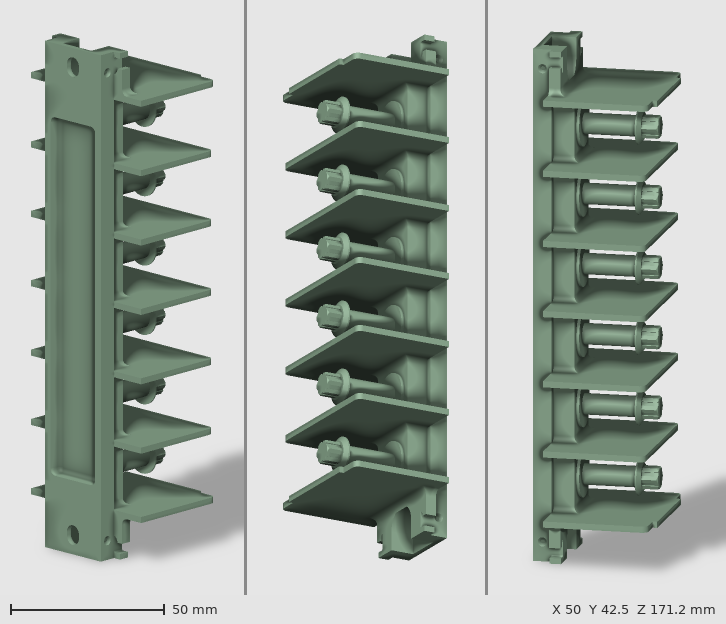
import cadquery as cq
import math

LENGTH = 171.2
BASE_WIDTH = 25.3
BASE_DEPTH = 6.2
END_Z = LENGTH / 2

BARRIER_COUNT = 7
PITCH = 23.5
BARRIER_WIDTH = 50.0
BARRIER_THICKNESS = 2.0
INNER_BARRIER_BACK = 40.0
OUTER_BARRIER_BACK = 41.0
BARRIER_CORNER_RADIUS = 2.0
TAB_WIDTH = 33.9
TAB_BACK = 42.5
OUTER_BARRIER_Z = PITCH * (BARRIER_COUNT - 1) / 2

CORE_WIDTH = 19.9
CORE_BACK = 13.2
CORE_FILLET = 1.9

END_BACK = 10.0
POST_SPAN = 32.7
POST_TOP = 80.1
POST_FILLET = 2.2
POST_INNER_X = 14.2
GAP_RADIUS = 2.2
LIP_WIDTH = 30.8
LIP_THICKNESS = 1.9
LIP_FILLET = 0.5

MOUNT_Z = 79.1
MOUNT_HOLE_WIDTH = 5.5
MOUNT_HOLE_HEIGHT = 6.7
RECESS_WIDTH = 13.2
RECESS_FLOOR = 1.9
DIMPLE_DIAMETER = 3.0
DIMPLE_FLOOR_DIAMETER = 1.4
DIMPLE_DEPTH = 0.9

PANEL_WIDTH = 20.2
PANEL_HEIGHT = 121.2
PANEL_DEPTH = 4.0
PANEL_CORNER_RADIUS = 2.0
PANEL_DRAFT_ANGLE = 8.0
PANEL_FLOOR_FILLET = 1.4

WASHER_DIAMETER = 15.4
WASHER_BACK = 14.2
SHANK_DIAMETER = 7.0
FLANGE_DIAMETER = 12.2
FLANGE_NECK_DIAMETER = 9.0
FLANGE_FRONT = 32.4
FLANGE_RIM_BACK = 32.9
FLANGE_BACK = 34.0
HEAD_BACK = 39.5
HEAD_ACROSS_FLATS = 7.0
HEAD_CHAMFER = 0.5
GROOVE_DEPTH = 0.3
GROOVES_PER_FLAT_WIDTH = 3
HEX_SIDES = 6

OVERLAP = 0.3


def block(width, front, back, bottom, top):
    """Box centred on X, spanning front..back in Y and bottom..top in Z."""
    size = (width, back - front, top - bottom)
    return cq.Workplane("XY").box(*size, centered=(True, False, False)).translate((0, front, bottom))


def both_ends(top_feature):
    """The feature at the top end together with its mirror image at the bottom end."""
    return top_feature.union(top_feature.mirror("XY"))


def barrier(index):
    """One barrier plate; the two outermost are deeper and carry a tab along the back."""
    z = (index - (BARRIER_COUNT - 1) / 2) * PITCH
    bottom = z - BARRIER_THICKNESS / 2
    top = z + BARRIER_THICKNESS / 2
    is_outer = index in (0, BARRIER_COUNT - 1)
    back = OUTER_BARRIER_BACK if is_outer else INNER_BARRIER_BACK
    plate = block(BARRIER_WIDTH, BASE_DEPTH, back, bottom, top)
    plate = plate.edges("|Z and >Y").fillet(BARRIER_CORNER_RADIUS)
    if is_outer:
        plate = plate.union(block(TAB_WIDTH, BASE_DEPTH, TAB_BACK, bottom, top))
    return plate


def root_fillet(body, half_width, back, z, radius):
    """Round the three edges where a block meets a barrier face at height z."""
    tolerance = 0.02
    selector = cq.selectors.BoxSelector(
        (-half_width - tolerance, BASE_DEPTH + tolerance, z - tolerance),
        (half_width + tolerance, back + tolerance, z + tolerance),
    )
    return body.edges(selector).fillet(radius)


def barrier_stack():
    """All barriers joined by the core block, with the post blocks beyond the outer barriers."""
    body = block(CORE_WIDTH, BASE_DEPTH, CORE_BACK, -OUTER_BARRIER_Z, OUTER_BARRIER_Z)
    body = body.union(both_ends(block(POST_SPAN, BASE_DEPTH, END_BACK, OUTER_BARRIER_Z, POST_TOP)))
    for index in range(BARRIER_COUNT):
        body = body.union(barrier(index))
    for gap in range(BARRIER_COUNT - 1):
        lower_face = -OUTER_BARRIER_Z + gap * PITCH + BARRIER_THICKNESS / 2
        upper_face = lower_face + PITCH - BARRIER_THICKNESS
        body = root_fillet(body, CORE_WIDTH / 2, CORE_BACK, lower_face, CORE_FILLET)
        body = root_fillet(body, CORE_WIDTH / 2, CORE_BACK, upper_face, CORE_FILLET)
    outer_face = OUTER_BARRIER_Z + BARRIER_THICKNESS / 2
    for z in (-outer_face, outer_face):
        body = root_fillet(body, POST_SPAN / 2, END_BACK, z, POST_FILLET)
    return body


def post_gaps():
    """Round-bottomed gaps between the side posts and the stalk at the top end."""
    centre_x = POST_INNER_X - GAP_RADIUS
    return (
        cq.Workplane("XZ", origin=(0, BASE_DEPTH, 0))
        .pushPoints([(-centre_x, POST_TOP), (centre_x, POST_TOP)])
        .circle(GAP_RADIUS)
        .extrude(-(END_BACK - BASE_DEPTH))
    )


def lipped_stalk():
    """Stalk as wide as the base, with a lip overhanging both sides at the top end."""
    lip_bottom = END_Z - LIP_THICKNESS
    stalk = block(BASE_WIDTH, BASE_DEPTH, END_BACK, OUTER_BARRIER_Z, END_Z)
    stalk = stalk.union(block(LIP_WIDTH, BASE_DEPTH, END_BACK, lip_bottom, END_Z))
    under_lip = cq.selectors.BoxSelector(
        (-BASE_WIDTH / 2 - LIP_FILLET, BASE_DEPTH, lip_bottom - LIP_FILLET),
        (BASE_WIDTH / 2 + LIP_FILLET, END_BACK, lip_bottom + LIP_FILLET),
    )
    return stalk.edges("|Y").edges(under_lip).fillet(LIP_FILLET)


def mount_cutter():
    """Oval screw hole with a wide recess behind it that opens through the top end."""
    hole = cq.Workplane("XZ").center(0, MOUNT_Z).slot2D(MOUNT_HOLE_HEIGHT, MOUNT_HOLE_WIDTH, 90)
    hole = hole.extrude(-END_BACK)
    recess = cq.Workplane("XZ", origin=(0, RECESS_FLOOR, MOUNT_Z)).circle(RECESS_WIDTH / 2)
    recess = recess.extrude(-(END_BACK - RECESS_FLOOR))
    opening = block(RECESS_WIDTH, RECESS_FLOOR, END_BACK, MOUNT_Z, END_Z)
    return hole.union(recess).union(opening)


def side_dimples():
    """Conical dimples in both side faces of the base, level with the mounting hole."""
    dimple = (
        cq.Workplane("YZ", origin=(-BASE_WIDTH / 2, BASE_DEPTH / 2, MOUNT_Z))
        .circle(DIMPLE_DIAMETER / 2)
        .workplane(offset=DIMPLE_DEPTH)
        .circle(DIMPLE_FLOOR_DIAMETER / 2)
        .loft()
    )
    return dimple.union(dimple.mirror("YZ"))


def label_panel():
    """Cutter for the drafted panel recess with a rounded floor edge."""
    panel = (
        cq.Workplane("XZ")
        .sketch()
        .rect(PANEL_WIDTH, PANEL_HEIGHT)
        .vertices()
        .fillet(PANEL_CORNER_RADIUS)
        .finalize()
        .extrude(-PANEL_DEPTH, taper=PANEL_DRAFT_ANGLE)
    )
    return panel.faces(">Y").edges().fillet(PANEL_FLOOR_FILLET)


def screw_head():
    """Hexagonal head with a shallow groove along each flat and a chamfered end."""
    corner_diameter = HEAD_ACROSS_FLATS / math.cos(math.pi / HEX_SIDES)
    flat_width = corner_diameter / 2
    groove_width = flat_width / GROOVES_PER_FLAT_WIDTH
    length = HEAD_BACK - FLANGE_BACK + OVERLAP
    head = cq.Workplane("XZ").polygon(HEX_SIDES, corner_diameter).extrude(-length)
    groove = cq.Workplane("XY").box(groove_width, length, 2 * GROOVE_DEPTH, centered=(True, False, True))
    groove = groove.translate((0, 0, HEAD_ACROSS_FLATS / 2))
    for side in range(HEX_SIDES):
        head = head.cut(groove.rotate((0, 0, 0), (0, 1, 0), side * 360 / HEX_SIDES))
    envelope = cq.Workplane("XZ").circle(corner_diameter / 2).extrude(-length)
    envelope = envelope.faces(">Y").chamfer(HEAD_CHAMFER)
    return head.intersect(envelope).translate((0, HEAD_BACK - length, 0))


def terminal_screw():
    """Washer, shank and flange turned about Y, with the head on the end."""
    turned = (
        cq.Workplane("XY")
        .moveTo(0, CORE_BACK - OVERLAP)
        .lineTo(WASHER_DIAMETER / 2, CORE_BACK - OVERLAP)
        .lineTo(WASHER_DIAMETER / 2, WASHER_BACK)
        .lineTo(SHANK_DIAMETER / 2, WASHER_BACK)
        .lineTo(SHANK_DIAMETER / 2, FLANGE_FRONT)
        .lineTo(FLANGE_DIAMETER / 2, FLANGE_FRONT)
        .lineTo(FLANGE_DIAMETER / 2, FLANGE_RIM_BACK)
        .lineTo(FLANGE_NECK_DIAMETER / 2, FLANGE_BACK)
        .lineTo(0, FLANGE_BACK)
        .close()
        .revolve(360, (0, 0, 0), (0, 1, 0))
    )
    return turned.union(screw_head())


base = block(BASE_WIDTH, 0, BASE_DEPTH, -END_Z, END_Z)
result = barrier_stack().cut(both_ends(post_gaps()))
result = result.union(both_ends(lipped_stalk())).union(base)
result = result.cut(both_ends(mount_cutter()))
result = result.cut(both_ends(side_dimples()))
result = result.cut(label_panel())

screw = terminal_screw()
for gap in range(BARRIER_COUNT - 1):
    screw_z = -OUTER_BARRIER_Z + (gap + 0.5) * PITCH
    result = result.union(screw.translate((0, 0, screw_z)))